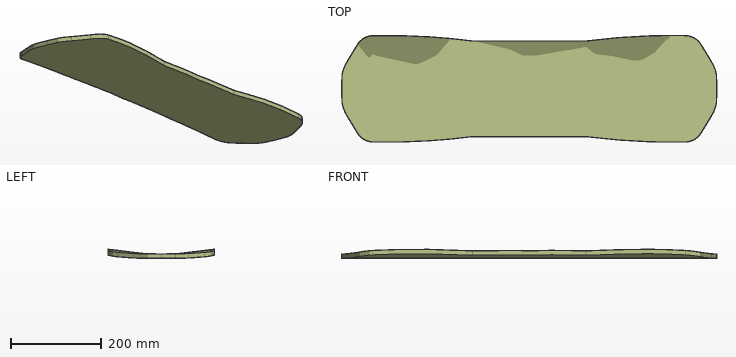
import cadquery as cq
import math

length = 830.0
width = 236.31
deck_height = 20.76
thickness = 10.0

half_length = length / 2
side_bulge = 0.3

tip = (half_length, 0.0)
tip_arc_mid = (half_length - 0.15, 15.0)
tip_arc_end = (half_length - 0.7, 31.0)
tip_corner_mid = (410.0, 46.0)
flank_start = (403.0, 60.0)
flank_end = (381.0, 96.0)
nose_corner_mid = (367.0, 111.1)
side_end = (345.0, width / 2 - side_bulge)
shoulder = (235.0, 116.0)
waist = (126.0, 106.0)

blank_half_length = half_length + 10.0
blank_half_width = 125.0
waist_rise = 10.0
blank_end_rise = 2.0
surface_bow = 0.07
shoulder_edge_height = deck_height - surface_bow - thickness
shoulder_rise = shoulder_edge_height * (blank_half_width / shoulder[1]) ** 2

stations_per_slope = 3


def deck_outline():
    """Flat outline of the deck as a closed wire, symmetric about X and Y."""

    def left(point):
        return (-point[0], point[1])

    half = (
        cq.Workplane("XY")
        .moveTo(*tip)
        .threePointArc(tip_arc_mid, tip_arc_end)
        .threePointArc(tip_corner_mid, flank_start)
        .lineTo(*flank_end)
        .threePointArc(nose_corner_mid, side_end)
        .threePointArc(shoulder, waist)
        .lineTo(*left(waist))
        .threePointArc(left(shoulder), left(side_end))
        .threePointArc(left(nose_corner_mid), left(flank_end))
        .lineTo(*left(flank_start))
        .threePointArc(left(tip_corner_mid), left(tip_arc_end))
        .threePointArc(left(tip_arc_mid), left(tip))
    )
    return half.mirrorX()


def inner_rise(fraction):
    """Half-cosine climb from the waist to the shoulder."""
    return waist_rise + (shoulder_rise - waist_rise) * (1 - math.cos(math.pi * fraction)) / 2


def outer_rise(fraction):
    """Parabolic fall from the shoulder to the end of the blank."""
    return shoulder_rise + (blank_end_rise - shoulder_rise) * fraction**2


def edge_stations():
    """(X, rise) pairs from the waist over the shoulder to the end of the blank."""
    stations = [(waist[0], waist_rise)]
    slopes = [
        (waist[0], shoulder[0], inner_rise),
        (shoulder[0], blank_half_length, outer_rise),
    ]
    for x_start, x_end, rise_at in slopes:
        for i in range(1, stations_per_slope + 1):
            fraction = i / stations_per_slope
            x = x_start + (x_end - x_start) * fraction
            stations.append((x, rise_at(fraction)))
    return stations


def cross_section(x, rise):
    """Closed dished section of constant vertical thickness at position x."""
    edge = blank_half_width
    top_edge = rise + thickness
    return (
        cq.Workplane("YZ", origin=(x, 0, 0))
        .moveTo(-edge, rise)
        .threePointArc((0, 0), (edge, rise))
        .lineTo(edge, top_edge)
        .threePointArc((0, thickness), (-edge, top_edge))
        .close()
        .val()
    )


def concave_blank():
    """Oversized dished sheet, lofted smoothly along X."""
    right_side = edge_stations()
    left_side = [(-x, rise) for x, rise in reversed(right_side)]
    stations = left_side + [(0, waist_rise)] + right_side
    sections = [cross_section(x, rise) for x, rise in stations]
    return cq.Workplane(cq.Solid.makeLoft(sections))


cutter_height = 2 * deck_height
result = concave_blank().intersect(deck_outline().extrude(cutter_height))